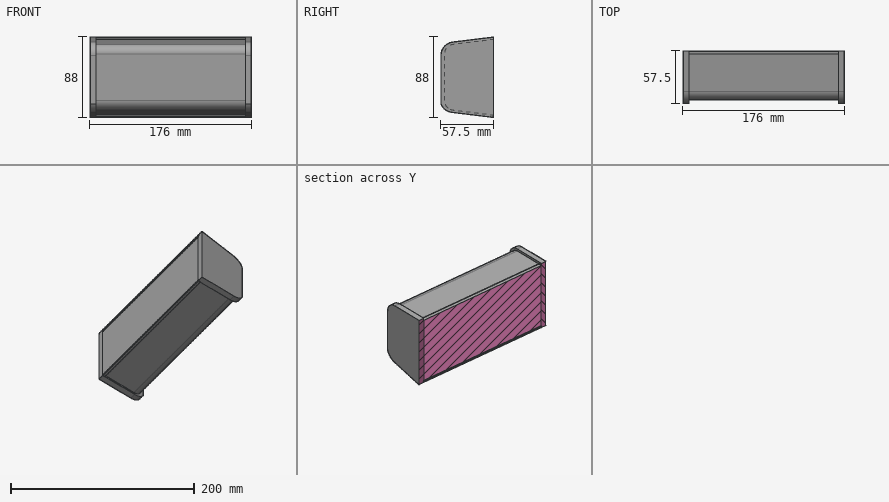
import cadquery as cq
import math

length = 176.0
depth = 57.5
height = 88.0
half_height = height / 2

cap_thickness = 6.5
side_slope = math.radians(7.0)
cap_corner_radius = 15.0
lower_arc_shift = 1.0

lip_depth = 3.2
lip_thickness = 0.5
back_wall = 0.5
cover_step = 2.6
cover_front_gap = 4.0
cover_corner_radius = 10.4

housing_length = length - 2 * cap_thickness
cover_front = depth - cover_front_gap


def side_height(distance, drop=0.0):
    """Half height of a sloping side at a distance forward of the back face."""
    return half_height - drop - distance * math.tan(side_slope)


def corner_center_height(center_distance, radius, drop=0.0):
    """Half height of the centre of an arc that is tangent to the sloping side."""
    return side_height(center_distance, drop) - radius / math.cos(side_slope)


def arc_point(center_distance, center_height, radius, angle):
    """Point on a corner arc; the angle is measured from the forward direction."""
    return (
        -(center_distance + radius * math.cos(angle)),
        center_height + radius * math.sin(angle),
    )


tangent_angle = math.pi / 2 - side_slope


def make_cap(start_x):
    """End plate with a full upper corner and a lower corner cut short by the front face."""
    radius = cap_corner_radius
    upper_distance = depth - radius
    upper_height = corner_center_height(upper_distance, radius)
    lower_distance = upper_distance + lower_arc_shift
    lower_height = -corner_center_height(lower_distance, radius)
    runout_angle = -math.acos((depth - lower_distance) / radius)

    def upper(angle):
        return arc_point(upper_distance, upper_height, radius, angle)

    def lower(angle):
        return arc_point(lower_distance, lower_height, radius, angle)

    return (
        cq.Workplane("YZ", origin=(start_x, 0, 0))
        .moveTo(0, -half_height)
        .lineTo(0, half_height)
        .lineTo(*upper(tangent_angle))
        .threePointArc(upper(tangent_angle / 2), upper(0))
        .lineTo(*lower(runout_angle))
        .threePointArc(lower((runout_angle - tangent_angle) / 2), lower(-tangent_angle))
        .close()
        .extrude(cap_thickness)
    )


def make_housing():
    """Rounded cover with a grooved lip along both back edges, as one body."""
    radius = cover_corner_radius
    center_distance = cover_front - radius
    center_height = corner_center_height(center_distance, radius, cover_step)
    lip_front_height = side_height(lip_depth)
    lip_inner_height = side_height(lip_depth, lip_thickness)
    groove_top_height = side_height(back_wall, lip_thickness)
    cover_back_height = side_height(back_wall, cover_step)

    def upper(angle):
        return arc_point(center_distance, center_height, radius, angle)

    def lower(angle):
        return arc_point(center_distance, -center_height, radius, angle)

    return (
        cq.Workplane("YZ", origin=(-housing_length / 2, 0, 0))
        .moveTo(0, -half_height)
        .lineTo(0, half_height)
        .lineTo(-lip_depth, lip_front_height)
        .lineTo(-lip_depth, lip_inner_height)
        .lineTo(-back_wall, groove_top_height)
        .lineTo(-back_wall, cover_back_height)
        .lineTo(*upper(tangent_angle))
        .threePointArc(upper(tangent_angle / 2), upper(0))
        .lineTo(*lower(0))
        .threePointArc(lower(-tangent_angle / 2), lower(-tangent_angle))
        .lineTo(-back_wall, -cover_back_height)
        .lineTo(-back_wall, -groove_top_height)
        .lineTo(-lip_depth, -lip_inner_height)
        .lineTo(-lip_depth, -lip_front_height)
        .close()
        .extrude(housing_length)
    )


housing = make_housing()
cap_starts = [-length / 2, housing_length / 2]
caps = [make_cap(start_x) for start_x in cap_starts]

result = cq.Compound.makeCompound([housing.val(), *[cap.val() for cap in caps]])